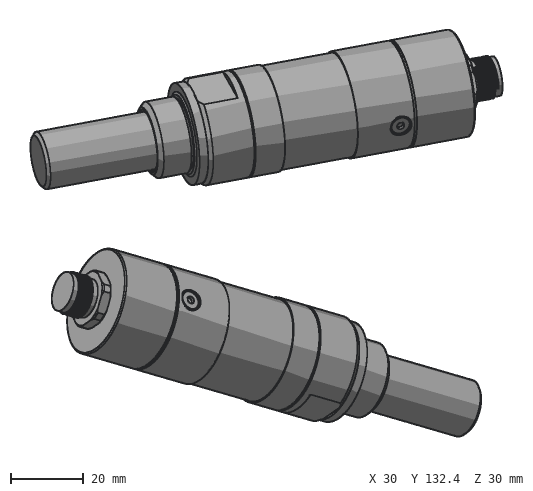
import cadquery as cq
import math

LENGTH = 132.4
Y_CONNECTOR_END = LENGTH / 2

CONNECTOR_CORE_R = 5.5
THREAD_CREST_R = 6.0
THREAD_PITCH = 1.0
THREAD_START = 1.5
THREAD_TURNS = 5.2
THREAD_ROOT_WIDTH = 0.9
THREAD_CREST_WIDTH = 0.3
THREAD_EMBED = 0.1
HEX_START = 8.0
HEX_ACROSS_FLATS = 15.0
HEX_CORNER_R = 8.1
HEX_CHAMFER = 0.4

BODY_DIAMETER = 30.0
BODY_R = BODY_DIAMETER / 2
BODY_START = 10.9
BODY_EDGE_CHAMFER = 0.4
CAP_GROOVE_START = 27.8
CAP_GROOVE_WIDTH = 0.7
CAP_GROOVE_DEPTH = 0.3
WAIST_START = 44.9
WAIST_END = 66.0
WAIST_DEPTH = 0.4
NUT_START = 74.4
NUT_GROOVE_WIDTH = 0.4
NUT_GROOVE_DEPTH = 0.3
NUT_CHAMFER_START = 86.7
NUT_CHAMFER_END_R = 14.2

COLLAR_START = 87.9
COLLAR_R = 14.3
SEAL_START = 90.4
SEAL_BASE_R = 11.9
SEAL_END = 90.8
SEAL_END_R = 11.1

NECK_R = 10.0
SHOULDER_START = 91.6
SHOULDER_R = 10.7
SHOULDER_CHAMFER = 1.3
SHOULDER_END = 100.9
SHAFT_R = 8.1
SHAFT_CHAMFER = 0.9
SHAFT_RELIEF_R = 8.7
SHAFT_RELIEF_DEPTH = 0.4

FLAT_START = 76.9
FLATS_ACROSS = 27.0

PORT_STATION = 32.5
PORT_R = 3.0
PORT_PLUG_R = 2.6
PORT_RECESS_DEPTH = 0.33
PORT_GROOVE_DEPTH = 0.3
PORT_HOLE_R = 1.0
PORT_HOLE_DEPTH = 1.0


def y_at(station):
    """Y coordinate of a station measured from the connector end."""
    return Y_CONNECTOR_END - station


def rod(radius, start, end):
    """Cylinder about the Y axis between two stations."""
    face = cq.Workplane("XZ", origin=(0, y_at(start), 0))
    return face.circle(radius).extrude(end - start)


def turned_body():
    """Everything that is round about the Y axis, revolved in one piece."""
    waist_r = BODY_R - WAIST_DEPTH
    cap_groove_r = BODY_R - CAP_GROOVE_DEPTH
    cap_groove_end = CAP_GROOVE_START + CAP_GROOVE_WIDTH
    nut_groove_r = BODY_R - NUT_GROOVE_DEPTH
    nut_groove_end = NUT_START + NUT_GROOVE_WIDTH
    profile = [
        (0, 0),
        (CONNECTOR_CORE_R, 0),
        (CONNECTOR_CORE_R, BODY_START),
        (BODY_R - BODY_EDGE_CHAMFER, BODY_START),
        (BODY_R, BODY_START + BODY_EDGE_CHAMFER),
        (BODY_R, CAP_GROOVE_START),
        (cap_groove_r, CAP_GROOVE_START),
        (cap_groove_r, cap_groove_end),
        (BODY_R, cap_groove_end),
        (BODY_R, WAIST_START),
        (waist_r, WAIST_START),
        (waist_r, WAIST_END),
        (BODY_R, WAIST_END),
        (BODY_R, NUT_START),
        (nut_groove_r, NUT_START),
        (nut_groove_r, nut_groove_end),
        (BODY_R, nut_groove_end),
        (BODY_R, NUT_CHAMFER_START),
        (NUT_CHAMFER_END_R, COLLAR_START),
        (COLLAR_R, COLLAR_START),
        (COLLAR_R, SEAL_START),
        (SEAL_BASE_R, SEAL_START),
        (SEAL_END_R, SEAL_END),
        (NECK_R, SEAL_END),
        (SHOULDER_R, SHOULDER_START),
        (SHOULDER_R, SHOULDER_END - SHOULDER_CHAMFER),
        (SHOULDER_R - SHOULDER_CHAMFER, SHOULDER_END),
        (SHAFT_RELIEF_R, SHOULDER_END),
        (SHAFT_RELIEF_R, SHOULDER_END - SHAFT_RELIEF_DEPTH),
        (SHAFT_R, SHOULDER_END - SHAFT_RELIEF_DEPTH),
        (SHAFT_R, LENGTH - SHAFT_CHAMFER),
        (SHAFT_R - SHAFT_CHAMFER, LENGTH),
        (0, LENGTH),
    ]
    outline = [(radius, y_at(station)) for radius, station in profile]
    return cq.Workplane("XY").polyline(outline).close().revolve(360, (0, 0), (0, 1))


def connector_hex():
    """Hexagon with flats facing +Z and -Z and its corners turned off and chamfered."""
    across_corners = HEX_ACROSS_FLATS / math.cos(math.pi / 6)
    face = cq.Workplane("XZ", origin=(0, y_at(HEX_START), 0))
    prism = face.polygon(6, across_corners).extrude(BODY_START - HEX_START)
    return prism.intersect(rod(HEX_CORNER_R, HEX_START, BODY_START).edges().chamfer(HEX_CHAMFER))


def connector_thread():
    """Helical ridge, built along +Z and then turned onto the Y axis."""
    root_r = CONNECTOR_CORE_R - THREAD_EMBED
    helix = cq.Wire.makeHelix(THREAD_PITCH, THREAD_TURNS * THREAD_PITCH, root_r)
    tooth = [
        (root_r, -THREAD_ROOT_WIDTH / 2),
        (THREAD_CREST_R, -THREAD_CREST_WIDTH / 2),
        (THREAD_CREST_R, THREAD_CREST_WIDTH / 2),
        (root_r, THREAD_ROOT_WIDTH / 2),
    ]
    ridge = cq.Workplane("XZ").polyline(tooth).close().sweep(cq.Workplane(obj=helix), isFrenet=True)
    return ridge.rotate((0, 0, 0), (1, 0, 0), 90).translate((0, y_at(THREAD_START), 0))


def wrench_flat_cutters():
    """Blocks that cut the two flats, stopping against the collar."""
    flat_length = COLLAR_START - FLAT_START
    flat_depth = BODY_R - FLATS_ACROSS / 2
    z_center = (BODY_R + FLATS_ACROSS / 2) / 2
    block = cq.Workplane("XY").box(2 * BODY_R, flat_length, flat_depth)
    y_center = y_at(FLAT_START + flat_length / 2)
    upper = block.translate((0, y_center, z_center))
    lower = block.translate((0, y_center, -z_center))
    return upper.union(lower)


def port_cutters():
    """Shallow recess, ring groove around the plug and central hole, on both sides."""
    floor_x = BODY_R - PORT_RECESS_DEPTH
    floor = cq.Workplane("YZ", origin=(floor_x, y_at(PORT_STATION), 0))
    recess = floor.circle(PORT_R).extrude(PORT_RECESS_DEPTH)
    groove = floor.circle(PORT_R).circle(PORT_PLUG_R).extrude(-PORT_GROOVE_DEPTH)
    hole = floor.circle(PORT_HOLE_R).extrude(-PORT_HOLE_DEPTH)
    port = recess.union(groove).union(hole)
    return port.union(port.mirror("YZ"))


result = (
    turned_body()
    .union(connector_hex())
    .union(connector_thread())
    .cut(wrench_flat_cutters())
    .cut(port_cutters())
)